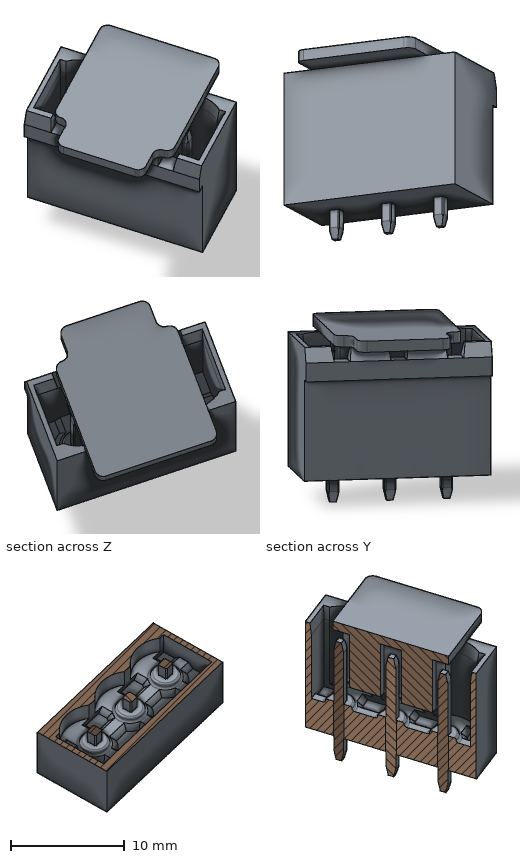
import cadquery as cq


pin_pitch = 5.08
pin_positions = [-pin_pitch, 0, pin_pitch]
pin_width = 1.0
pin_edge_chamfer = 0.12
pin_tip_width = 0.55
pin_taper_height = 1.0
pin_bottom = -2.6
pin_top = 10.8

housing_length = 16.64
housing_height = 11.98
housing_half_depth = 3.86
lip_front = -4.6
lip_height = 3.0
lip_bottom = housing_height - lip_height
lead_in_height = 1.31
lead_in_bottom = housing_height - lead_in_height
lip_chamfer = 0.5

cavity_half_length = 7.72
cavity_back = 2.25
cavity_front = -3.05
side_flare = 0.13
back_flare = 0.23
front_flare = 0.5

bay_radius = 3.08

notch_top_width = 1.81
notch_bottom_width = 1.41

floor_thickness = 3.0
rib_flank = 0.5
rib_top = floor_thickness + rib_flank
rib_half_width = 0.5
back_rib_half_width = 1.11
collar_radius = 1.56
boss_radius = 1.33
boss_base_fillet = collar_radius - boss_radius
boss_top_fillet = 0.22

plate_thickness = 1.0
plate_half_width = 5.64
plate_back = 7.0
plate_shoulder = -4.48
plate_corner_radius = 0.75
tab_half_width = plate_half_width - 2 * plate_corner_radius
tab_front = -7.49
plug_half_length = 4.98
plug_back = 1.55
plug_front = -2.88
plug_bottom = 5.99
pin_slot_length = 2.0
pin_slot_width = 0.9


def housing_block():
    """Outer block with the chamfered lip along the top of its front wall."""
    outline = [
        (housing_half_depth, 0),
        (housing_half_depth, housing_height),
        (lip_front + lip_chamfer, housing_height),
        (lip_front, lead_in_bottom),
        (lip_front, lip_bottom),
        (-housing_half_depth, lip_bottom),
        (-housing_half_depth, 0),
    ]
    return cq.Workplane("YZ").polyline(outline).close().extrude(housing_length / 2, both=True)


def cavity():
    """Straight-walled cavity with a flared lead-in at its mouth."""
    length = 2 * cavity_half_length
    depth = cavity_back - cavity_front
    centre_y = (cavity_back + cavity_front) / 2
    mouth_length = length + 2 * side_flare
    mouth_depth = depth + back_flare + front_flare
    mouth_shift = (back_flare - front_flare) / 2
    straight = (
        cq.Workplane("XY", origin=(0, centre_y, floor_thickness))
        .rect(length, depth)
        .extrude(lead_in_bottom - floor_thickness)
    )
    lead_in = (
        cq.Workplane("XY", origin=(0, centre_y, lead_in_bottom))
        .rect(length, depth)
        .workplane(offset=lead_in_height)
        .center(0, mouth_shift)
        .rect(mouth_length, mouth_depth)
        .loft()
    )
    return straight.union(lead_in)


def back_bay(pin_x):
    """Round bay that cuts an arch into the back wall, flared at the top."""
    profile = [
        (0, rib_top),
        (bay_radius, rib_top),
        (bay_radius, lead_in_bottom),
        (bay_radius + back_flare, housing_height),
        (0, housing_height),
    ]
    bay = cq.Workplane("XZ").polyline(profile).close().revolve(360, (0, 0), (0, 1))
    behind_cavity = cq.Workplane("XY", origin=(0, cavity_back, 0)).box(
        housing_length, housing_half_depth, housing_height, centered=(True, False, False)
    )
    return bay.intersect(behind_cavity).translate((pin_x, 0, 0))


def front_notch(pin_x):
    """Notch through the front wall, narrower at the bottom."""
    outline = [
        (pin_x - notch_bottom_width / 2, lead_in_bottom),
        (pin_x + notch_bottom_width / 2, lead_in_bottom),
        (pin_x + notch_top_width / 2, housing_height),
        (pin_x - notch_top_width / 2, housing_height),
    ]
    return cq.Workplane("XZ").polyline(outline).close().extrude(-lip_front)


def rib_section(half_width):
    """Corner points of a rib with sloping flanks, centred on the local axis."""
    return [
        (-half_width - rib_flank, floor_thickness),
        (half_width + rib_flank, floor_thickness),
        (half_width, rib_top),
        (-half_width, rib_top),
    ]


def long_rib():
    """Rib along the pin row from end wall to end wall."""
    section = cq.Workplane("YZ").polyline(rib_section(rib_half_width)).close()
    return section.extrude(cavity_half_length, both=True)


def cross_ribs(pin_x):
    """Narrow rib from a pin to the front wall and wide rib from it to the back wall."""
    front = cq.Workplane("XZ").polyline(rib_section(rib_half_width)).close().extrude(-cavity_front)
    back = cq.Workplane("XZ").polyline(rib_section(back_rib_half_width)).close().extrude(-cavity_back)
    return front.union(back).translate((pin_x, 0, 0))


def pin_boss(pin_x):
    """Conical collar that carries a round boss with a filleted foot and rim."""
    shoulder = rib_top + boss_base_fillet
    boss_top = shoulder + boss_top_fillet
    boss = (
        cq.Workplane("XZ")
        .moveTo(0, floor_thickness)
        .lineTo(collar_radius + rib_flank, floor_thickness)
        .lineTo(collar_radius, rib_top)
        .radiusArc((boss_radius, shoulder), boss_base_fillet)
        .radiusArc((boss_radius - boss_top_fillet, boss_top), -boss_top_fillet)
        .lineTo(0, boss_top)
        .close()
        .revolve(360, (0, 0), (0, 1))
    )
    return boss.translate((pin_x, 0, 0))


def make_pin(pin_x):
    """Square pin with chamfered long edges and a four-sided taper at both ends."""
    half = pin_width / 2
    tip = pin_tip_width / 2
    outline = [
        (-tip, pin_bottom),
        (tip, pin_bottom),
        (half, pin_bottom + pin_taper_height),
        (half, pin_top - pin_taper_height),
        (tip, pin_top),
        (-tip, pin_top),
        (-half, pin_top - pin_taper_height),
        (-half, pin_bottom + pin_taper_height),
    ]
    bar = (
        cq.Workplane("XY", origin=(0, 0, pin_bottom))
        .rect(pin_width, pin_width)
        .extrude(pin_top - pin_bottom)
        .edges("|Z")
        .chamfer(pin_edge_chamfer)
    )
    for plane in ("XZ", "YZ"):
        bar = bar.intersect(cq.Workplane(plane).polyline(outline).close().extrude(half, both=True))
    return bar.translate((pin_x, 0, 0))


def make_housing(pins):
    """Housing with its cavity, floor relief and matching holes for the pins."""
    housing = housing_block().cut(cavity())
    for pin_x in pin_positions:
        housing = housing.cut(back_bay(pin_x)).cut(front_notch(pin_x))
    housing = housing.union(long_rib())
    for pin_x in pin_positions:
        housing = housing.union(cross_ribs(pin_x)).union(pin_boss(pin_x))
    for pin in pins:
        housing = housing.cut(pin)
    return housing


def cover_plate():
    """Plate with rounded corners and a narrower tab at its front."""
    radius = plate_corner_radius
    half_plate = (
        cq.Workplane("XY", origin=(0, 0, housing_height))
        .moveTo(0, tab_front)
        .lineTo(tab_half_width - radius, tab_front)
        .radiusArc((tab_half_width, tab_front + radius), -radius)
        .lineTo(tab_half_width, plate_shoulder - radius)
        .radiusArc((tab_half_width + radius, plate_shoulder), radius)
        .radiusArc((plate_half_width, plate_shoulder + radius), -radius)
        .lineTo(plate_half_width, plate_back - radius)
        .radiusArc((plate_half_width - radius, plate_back), -radius)
        .lineTo(0, plate_back)
        .close()
        .extrude(plate_thickness)
    )
    return half_plate.union(half_plate.mirror("YZ")).clean()


def cover_plug():
    """Block under the plate with a slot over each pin, narrower than the pin shaft."""
    depth = plug_back - plug_front
    height = housing_height - plug_bottom
    plug = (
        cq.Workplane("XY", origin=(0, (plug_back + plug_front) / 2, plug_bottom))
        .rect(2 * plug_half_length, depth)
        .extrude(height)
    )
    slots = (
        cq.Workplane("XY", origin=(0, 0, plug_bottom))
        .pushPoints([(pin_x, 0) for pin_x in pin_positions])
        .rect(pin_slot_length, pin_slot_width)
        .extrude(height)
    )
    return plug.cut(slots)


def make_cover(pins):
    """Plate and plug in one piece, with the pin shafts let into the plug."""
    cover = cover_plate().union(cover_plug())
    for pin in pins:
        cover = cover.cut(pin)
    return cover


pins = [make_pin(pin_x) for pin_x in pin_positions]
housing = make_housing(pins)
cover = make_cover(pins)

result = cq.Compound.makeCompound([housing.val(), cover.val(), *[pin.val() for pin in pins]])